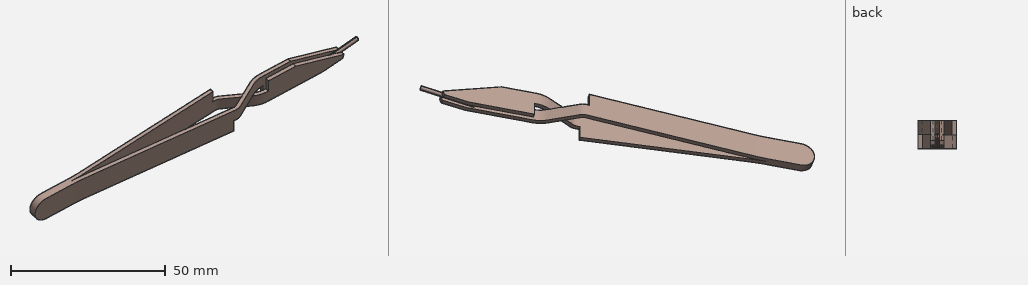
import cadquery as cq
import math


strip_thickness = 1.42
strip_width = 9.2
overall_length = 131.84
blade_end = 124.8
blade_gap = 1.38

tail_bend_y = 18.1
shoulder_x = 5.665
shoulder_y = 78.76
neck_y = 91.2
tail_bend_radius = 50.0
shoulder_inner_radius = 3.0
neck_inner_radius = 8.8

leg_start = 76.9
leg_end = 94.1
leg_clearance = 0.1

top_taper_start = 105.2
bottom_taper_start = 116.2
tip_top_z = 2.75
tip_bottom_y = 124.2
tip_bottom_z = 1.25

tip_diameter = 1.5
tip_split = 0.02
tip_angle = 10.0
tip_center_z = 4.2
tip_root_y = 113.8

half_thickness = strip_thickness / 2
blade_x = (blade_gap + strip_thickness) / 2
mid_z = strip_width / 2
cutter_width = 4 * shoulder_x


def angle_from_y(start, end):
    """Angle of a segment away from +Y, positive toward +X."""
    return math.atan2(end[0] - start[0], end[1] - start[1])


def offset_line(points, distance):
    """Polyline parallel to the given one, moved to +X of its direction by the distance."""
    angles = [angle_from_y(a, b) for a, b in zip(points, points[1:])]
    before = [angles[0]] + angles
    after = angles + [angles[-1]]
    shifted = []
    for (x, y), a, b in zip(points, before, after):
        bisector = (a + b) / 2
        reach = distance / math.cos((b - a) / 2)
        shifted.append((x + reach * math.cos(bisector), y - reach * math.sin(bisector)))
    return shifted


def draw_bent_line(sketch, points, radii):
    """Draw from the first point to the last one, rounding each corner between them."""
    for start, corner, end, radius in zip(points, points[1:], points[2:], radii):
        angle_in = angle_from_y(start, corner)
        angle_out = angle_from_y(corner, end)
        turn = math.remainder(angle_out - angle_in, 2 * math.pi)
        bisector = angle_in + turn / 2
        tangent = radius * math.tan(abs(turn) / 2)
        sagitta = radius * (1 / math.cos(turn / 2) - 1) * math.copysign(1, turn)
        arc_start = (corner[0] - tangent * math.sin(angle_in), corner[1] - tangent * math.cos(angle_in))
        arc_end = (corner[0] + tangent * math.sin(angle_out), corner[1] + tangent * math.cos(angle_out))
        arc_middle = (corner[0] + sagitta * math.cos(bisector), corner[1] - sagitta * math.sin(bisector))
        sketch = sketch.lineTo(*arc_start).threePointArc(arc_middle, arc_end)
    return sketch.lineTo(*points[-1])


def bent_strip():
    """Full-width strip of the arm that starts on the +X side and ends in the -X blade."""
    middle = [
        (half_thickness, 0),
        (half_thickness, tail_bend_y),
        (shoulder_x, shoulder_y),
        (-blade_x, neck_y),
        (-blade_x, blade_end),
    ]
    right = offset_line(middle, half_thickness)
    left = offset_line(middle, -half_thickness)

    right_radii = [
        tail_bend_radius,
        shoulder_inner_radius + strip_thickness,
        neck_inner_radius,
    ]
    left_radii = [
        tail_bend_radius + strip_thickness,
        shoulder_inner_radius,
        neck_inner_radius + strip_thickness,
    ]
    sketch = draw_bent_line(cq.Workplane("XY").moveTo(*right[0]), right, right_radii)
    sketch = draw_bent_line(sketch.lineTo(*left[-1]), left[::-1], left_radii[::-1])
    return sketch.close().extrude(strip_width)


def side_outline():
    """Solid with the side outline of the arm: round tail and tapered blade."""
    return (
        cq.Workplane("YZ")
        .moveTo(mid_z, 0)
        .lineTo(bottom_taper_start, 0)
        .lineTo(tip_bottom_y, tip_bottom_z)
        .lineTo(blade_end, tip_top_z)
        .lineTo(top_taper_start, strip_width)
        .lineTo(mid_z, strip_width)
        .threePointArc((0, mid_z), (mid_z, 0))
        .close()
        .extrude(cutter_width / 2, both=True)
    )


def leg_notch(upper_leg):
    """Block that removes the half of the strip the other arm crosses through."""
    height = mid_z + leg_clearance / 2
    bottom = 0 if upper_leg else strip_width - height
    return cq.Workplane("XY").box(
        cutter_width, leg_end - leg_start, height, centered=(True, False, False)
    ).translate((0, leg_start, bottom))


def half_tip():
    """The -X half of the round tip, rising toward its front end."""
    length = (overall_length - tip_root_y) / math.cos(math.radians(tip_angle))
    radius = tip_diameter / 2
    rod = cq.Workplane("XZ").circle(radius).extrude(length)
    keep = cq.Workplane("XY").box(
        tip_diameter, 3 * length, 2 * tip_diameter
    ).translate((-radius - tip_split / 2, 0, 0))
    rod = rod.intersect(keep)
    front_drop = radius * math.sin(math.radians(tip_angle))
    return rod.rotate((0, 0, 0), (1, 0, 0), tip_angle).translate(
        (0, overall_length - front_drop, tip_center_z)
    )


def arm(upper_leg):
    """One arm with its tip half; the lower-leg arm is the mirror image in X."""
    body = bent_strip().intersect(side_outline()).cut(leg_notch(upper_leg)).union(half_tip())
    return body if upper_leg else body.mirror("YZ")


result = arm(True).union(arm(False))